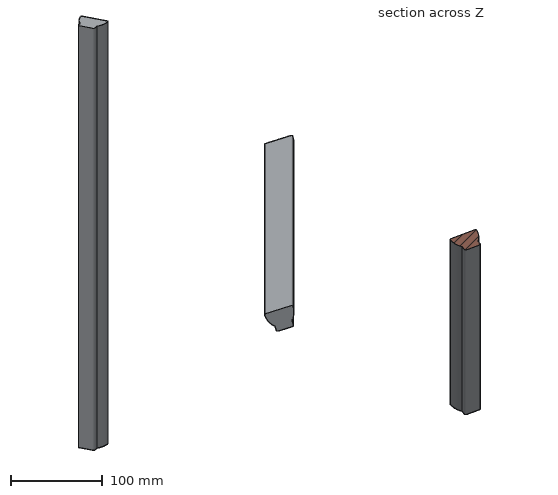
import cadquery as cq
import math

length = 508.0
width = 32.5
depth = 24.0
neck_width = 20.0
neck_depth = 6.5
back_radius = 1.5
front_radius = 2.0

half_width = width / 2
half_neck = neck_width / 2
back = depth / 2
front = -depth / 2
shoulder = front + neck_depth
flank_start = back - back_radius

flank_inset = half_width - half_neck
flank_drop = flank_start - shoulder
flank_radius = (flank_inset**2 + flank_drop**2) / (2 * flank_inset)
half_sweep = math.asin(flank_drop / flank_radius) / 2
flank_mid_x = half_width - flank_radius * (1 - math.cos(half_sweep))
flank_mid_y = flank_start - flank_radius * math.sin(half_sweep)

profile = (
    cq.Workplane("XY")
    .moveTo(-half_width + back_radius, back)
    .lineTo(half_width - back_radius, back)
    .radiusArc((half_width, flank_start), back_radius)
    .threePointArc((flank_mid_x, flank_mid_y), (half_neck, shoulder))
    .lineTo(half_neck, front + front_radius)
    .radiusArc((half_neck - front_radius, front), front_radius)
    .lineTo(-half_neck + front_radius, front)
    .radiusArc((-half_neck, front + front_radius), front_radius)
    .lineTo(-half_neck, shoulder)
    .threePointArc((-flank_mid_x, flank_mid_y), (-half_width, flank_start))
    .radiusArc((-half_width + back_radius, back), back_radius)
    .close()
)

result = profile.extrude(length).translate((0, 0, -length / 2))